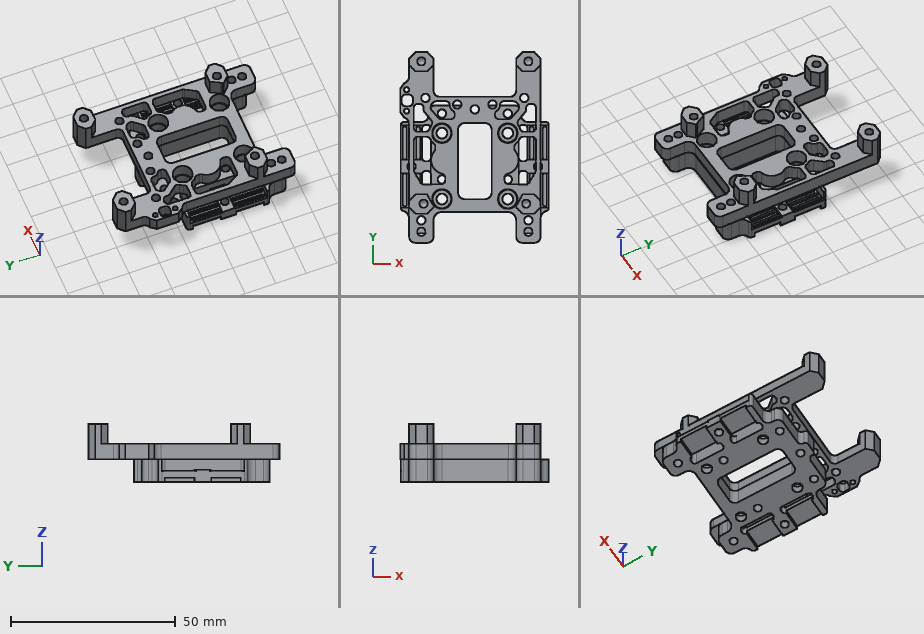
import cadquery as cq
import math

BASE_HEIGHT = 6.9
PLATE_THICKNESS = 4.8
POST_HEIGHT = 6.0
PLATE_TOP = BASE_HEIGHT + PLATE_THICKNESS
POST_TOP = PLATE_TOP + POST_HEIGHT

LEG_OUTER_X = 20.0
LEG_INNER_X = 12.5
LEG_CORNER = 2.0
FRONT_FILLET = 2.4

PLATE_FRONT_Y = -23.35
PLATE_BACK_Y = 34.65
PLATE_WEB_Y = 21.1
PLATE_FRONT_EDGE_Y = -14.0
BACK_FILLET = 1.75

BASE_FRONT_Y = -20.4
BASE_FRONT_EDGE_Y = -13.85
BASE_FRONT_FILLET = 2.5
BASE_BACK_Y = 18.45
BASE_SHOULDER_X = 14.05
BASE_CORNER = 2.0
TAB_BACK_Y = 20.9
TAB_HALF_WIDTH = 2.5
TAB_CORNER = 1.05
TAB_FILLET = 1.4
WING_X = 22.5
WING_BACK_Y = 13.45
WING_CORNER = 1.0

EAR_X = 22.71
EAR_Y = 19.95
EAR_HALF_FLAT = 3.53
EAR_HALF_ROOT = 7.2
EAR_ROOT_RADIUS = 2.0
EAR_ROOT_END_X = 21.38
EAR_HOLE_X = 20.72
EAR_HOLE_OFFSET = 3.25
EAR_HOLE_DIAMETER = 1.5
EAR_OPENING_X = 20.53
EAR_OPENING_SIZE = 3.45
EAR_OPENING_CORNER = 1.2

WINDOW_WIDTH = 10.15
WINDOW_FRONT_Y = -10.0
WINDOW_BACK_Y = 13.05
WINDOW_CORNER = 2.0

MOUNT_PITCH = 20.0
MOUNT_POINTS = [(x * MOUNT_PITCH / 2, y * MOUNT_PITCH / 2) for x in (-1, 1) for y in (-1, 1)]
MOUNT_DIAMETER = 3.2
PLATE_BORE_DIAMETER = 6.0
BASE_BORE_DIAMETER = 5.6
BASE_BORE_DEPTH = 3.7

SCREW_DIAMETER = 2.5
SIDE_SCREW = (15.0, 20.7)
BACK_SCREW = (5.35, 18.67)
CENTRE_SCREW_Y = 17.22
LEG_SCREW = (16.25, -16.45)
LEG_TIP_SCREW = (16.25, -19.9)
BASE_SCREW_X = 10.0
BASE_SCREW_YS = (15.94, -4.06)

POST_LENGTH = 5.9
POST_CHAMFER = 2.0
FRONT_POST_BACK_Y = -8.57
FRONT_POST_BORE_SIDE = [(12.5, -11.9), (12.96, -11.45)]
POST_HOLE_DEPTH = 9.0
POST_HOLE_TIP_ANGLE = 118.0
BACK_POST_HOLE = (16.25, 31.8)
FRONT_POST_HOLE = (15.57, -11.4)

POCKET_OUTER_X = 18.55
POCKET_FILLET = 1.2
INNER_POCKET_WIDE_FILLET = 1.95
SIDE_POCKET_WIDE_FILLET = 1.4
BORE_WALL_RADIUS = 4.0
SCREW_WALL_RADIUS = 2.3
BULGE_CENTRE = (9.0, 1.82)
BULGE_RADIUS = 4.25

TRAY_INNER_X = 13.38
TRAY_FRONT_Y = -12.65
TRAY_BACK_Y = 12.45
TRAY_CENTRE_Y = (TRAY_FRONT_Y + TRAY_BACK_Y) / 2
TRAY_CORNER = 1.0
TRAY_FLOOR = 3.43
BRIDGE_TOP = 3.84
BRIDGE_WIDTH = 4.1
SLIT_OUTER_X = 15.98
SLIT_HALF_GAP = 1.5
SLIT_CORNER = 1.0
GROOVE_XS = (17.23, 19.25, 21.27)
GROOVE_WIDTH = 1.2
GROOVE_END_GAP = 0.4
GROOVE_DEPTH = 1.0
WING_HOLE_X = 19.2
RELIEF_HEIGHT = 1.41
RELIEF_HALF_GAP = 2.5
RELIEF_END_MARGIN = 1.0


def both_sides(shape):
    """The shape together with its mirror image across the YZ plane."""
    return shape.union(shape.mirror("YZ"))


def mirrored(point):
    """The point on the -X side and its twin on the +X side."""
    x, y = point
    return [(-x, y), (x, y)]


def cylinders(points, diameter, bottom, top):
    """Upright cylinders at the points, between two heights."""
    return cq.Workplane(origin=(0, 0, bottom)).pushPoints(points).circle(diameter / 2).extrude(top - bottom)


def block(x_min, x_max, y_min, y_max, bottom, top):
    """Rectangular block from its limits."""
    size = (x_max - x_min, y_max - y_min, top - bottom)
    return cq.Workplane().box(*size, centered=False).translate((x_min, y_min, bottom))


def prism(points, bottom, top):
    """Upright prism on a polygon."""
    return cq.Workplane(origin=(0, 0, bottom)).polyline(points).close().extrude(top - bottom)


def window_cut():
    """Central window, tall enough to pass through both bodies."""
    half = WINDOW_WIDTH / 2
    cut = block(-half, half, WINDOW_FRONT_Y, WINDOW_BACK_Y, 0, PLATE_TOP)
    return cut.edges("|Z").fillet(WINDOW_CORNER)


def plate_frame():
    """H-shaped frame; the +X half is drawn from the back web round to the front edge."""
    half = (
        cq.Workplane(origin=(0, 0, BASE_HEIGHT))
        .moveTo(0, PLATE_WEB_Y)
        .lineTo(LEG_INNER_X - BACK_FILLET, PLATE_WEB_Y)
        .tangentArcPoint((LEG_INNER_X, PLATE_WEB_Y + BACK_FILLET), relative=False)
        .lineTo(LEG_INNER_X, PLATE_BACK_Y - POST_CHAMFER)
        .lineTo(LEG_INNER_X + POST_CHAMFER, PLATE_BACK_Y)
        .lineTo(LEG_OUTER_X - POST_CHAMFER, PLATE_BACK_Y)
        .lineTo(LEG_OUTER_X, PLATE_BACK_Y - POST_CHAMFER)
        .lineTo(LEG_OUTER_X, PLATE_FRONT_Y + LEG_CORNER)
        .tangentArcPoint((LEG_OUTER_X - LEG_CORNER, PLATE_FRONT_Y), relative=False)
        .lineTo(LEG_INNER_X + LEG_CORNER, PLATE_FRONT_Y)
        .tangentArcPoint((LEG_INNER_X, PLATE_FRONT_Y + LEG_CORNER), relative=False)
        .lineTo(LEG_INNER_X, PLATE_FRONT_EDGE_Y - FRONT_FILLET)
        .tangentArcPoint((LEG_INNER_X - FRONT_FILLET, PLATE_FRONT_EDGE_Y), relative=False)
        .lineTo(0, PLATE_FRONT_EDGE_Y)
        .close()
        .extrude(PLATE_THICKNESS)
    )
    return both_sides(half)


def ear():
    """Ear on the -X leg, with a rounded root running into the leg at each end."""
    root_centre_x = -LEG_OUTER_X - EAR_ROOT_RADIUS
    half_slope = EAR_HALF_ROOT - math.sqrt(EAR_ROOT_RADIUS**2 - (root_centre_x + EAR_ROOT_END_X) ** 2)
    arc_mid_x = root_centre_x + EAR_ROOT_RADIUS * math.cos(math.radians(45))
    arc_mid_y = EAR_HALF_ROOT - EAR_ROOT_RADIUS * math.sin(math.radians(45))
    inside_x = -POCKET_OUTER_X
    return (
        cq.Workplane(origin=(0, EAR_Y, BASE_HEIGHT))
        .moveTo(inside_x, EAR_HALF_ROOT)
        .lineTo(-LEG_OUTER_X, EAR_HALF_ROOT)
        .threePointArc((arc_mid_x, arc_mid_y), (-EAR_ROOT_END_X, half_slope))
        .lineTo(-EAR_X, EAR_HALF_FLAT)
        .lineTo(-EAR_X, -EAR_HALF_FLAT)
        .lineTo(-EAR_ROOT_END_X, -half_slope)
        .threePointArc((arc_mid_x, -arc_mid_y), (-LEG_OUTER_X, -EAR_HALF_ROOT))
        .lineTo(inside_x, -EAR_HALF_ROOT)
        .close()
        .extrude(PLATE_THICKNESS)
    )


def ear_cuts():
    """Two small holes and the rounded square opening of the ear."""
    points = [(-EAR_HOLE_X, EAR_Y + side * EAR_HOLE_OFFSET) for side in (-1, 1)]
    opening = (
        cq.Workplane(origin=(-EAR_OPENING_X, EAR_Y, BASE_HEIGHT))
        .rect(EAR_OPENING_SIZE, EAR_OPENING_SIZE)
        .extrude(PLATE_THICKNESS)
        .edges("|Z")
        .fillet(EAR_OPENING_CORNER)
    )
    return opening.union(cylinders(points, EAR_HOLE_DIAMETER, BASE_HEIGHT, PLATE_TOP))


def bore_wall():
    """Material kept round the back bore on the +X side."""
    return cylinders([(MOUNT_PITCH / 2, MOUNT_PITCH / 2)], 2 * BORE_WALL_RADIUS, BASE_HEIGHT, PLATE_TOP)


def round_pocket(pocket, wide_corner, wide_fillet):
    """Round the upright edges of a pocket, using a wider radius at one corner."""
    wide_edge = cq.selectors.NearestToPointSelector((*wide_corner, BASE_HEIGHT + PLATE_THICKNESS / 2))
    upright = cq.selectors.ParallelDirSelector(cq.Vector(0, 0, 1))
    rounded = pocket.edges(upright - wide_edge).fillet(POCKET_FILLET)
    return rounded.edges(wide_edge).fillet(wide_fillet)


def outer_back_pocket():
    """Pocket beside the leg, bounded by a sloped rib and the wall of the back bore."""
    outline = [
        (POCKET_OUTER_X, 10.45),
        (POCKET_OUTER_X, 18.85),
        (15.6, 18.85),
        (15.6, 16.75),
        (11.85, 12.25),
        (11.85, 10.45),
    ]
    pocket = prism(outline, BASE_HEIGHT, PLATE_TOP).cut(bore_wall())
    return pocket.edges("|Z").fillet(POCKET_FILLET)


def inner_back_pocket():
    """Pocket behind the back bore, bounded by a sloped rib and the wall of a screw hole."""
    screw_x, screw_y = BACK_SCREW
    side_x = screw_x + SCREW_WALL_RADIUS
    tip_x = 6.1
    arc_end_y = screw_y - math.sqrt(SCREW_WALL_RADIUS**2 - (tip_x - screw_x) ** 2)
    front_y = 14.25
    wide_corner = (13.4, 19.7)
    pocket = (
        cq.Workplane(origin=(0, 0, BASE_HEIGHT))
        .moveTo(10.75, front_y)
        .lineTo(wide_corner[0], 17.3)
        .lineTo(*wide_corner)
        .lineTo(side_x, wide_corner[1])
        .lineTo(side_x, screw_y)
        .tangentArcPoint((tip_x, arc_end_y), relative=False)
        .lineTo(tip_x, front_y)
        .close()
        .extrude(PLATE_THICKNESS)
    )
    return round_pocket(pocket, wide_corner, INNER_POCKET_WIDE_FILLET)


def side_pocket():
    """Long pocket over the wing tray, with a round bulge of material reaching into it."""
    wide_corner = (9.05, -5.55)
    outline = [
        (POCKET_OUTER_X, -1.5),
        (POCKET_OUTER_X, 8.85),
        (12.0, 8.85),
        (12.0, BULGE_CENTRE[1]),
        (wide_corner[0], BULGE_CENTRE[1]),
        wide_corner,
        (16.15, wide_corner[1]),
    ]
    bulge = cylinders([BULGE_CENTRE], 2 * BULGE_RADIUS, BASE_HEIGHT, PLATE_TOP)
    pocket = prism(outline, BASE_HEIGHT, PLATE_TOP).cut(bore_wall()).cut(bulge)
    return round_pocket(pocket, wide_corner, SIDE_POCKET_WIDE_FILLET)


def plate_holes():
    """Bores over the mounting holes and the screw holes of the plate."""
    screws = [(0, CENTRE_SCREW_Y)]
    for point in (SIDE_SCREW, BACK_SCREW, LEG_SCREW, LEG_TIP_SCREW):
        screws += mirrored(point)
    bores = cylinders(MOUNT_POINTS, PLATE_BORE_DIAMETER, BASE_HEIGHT, PLATE_TOP)
    return bores.union(cylinders(screws, SCREW_DIAMETER, BASE_HEIGHT, PLATE_TOP))


def post_outline(back_y):
    """Octagon as wide as a leg, starting at the back corner nearest the centre."""
    front_y = back_y - POST_LENGTH
    return [
        (LEG_INNER_X + POST_CHAMFER, back_y),
        (LEG_OUTER_X - POST_CHAMFER, back_y),
        (LEG_OUTER_X, back_y - POST_CHAMFER),
        (LEG_OUTER_X, front_y + POST_CHAMFER),
        (LEG_OUTER_X - POST_CHAMFER, front_y),
        (LEG_INNER_X + POST_CHAMFER, front_y),
        (LEG_INNER_X, front_y + POST_CHAMFER),
        (LEG_INNER_X, back_y - POST_CHAMFER),
    ]


def posts():
    """Back and front posts; the front ones are sloped to clear the bores beside them."""
    back = prism(post_outline(PLATE_BACK_Y), PLATE_TOP, POST_TOP)
    front_outline = post_outline(FRONT_POST_BACK_Y)
    front_outline[-1:] = FRONT_POST_BORE_SIDE
    front = prism(front_outline, PLATE_TOP, POST_TOP)
    return both_sides(back.union(front))


def post_holes():
    """Blind drilled holes with a conical bottom."""
    radius = SCREW_DIAMETER / 2
    tip = radius / math.tan(math.radians(POST_HOLE_TIP_ANGLE / 2))
    drill = (
        cq.Workplane("XZ")
        .polyline([(0, 0), (radius, 0), (radius, -POST_HOLE_DEPTH), (0, -POST_HOLE_DEPTH - tip)])
        .close()
        .revolve(360, (0, 0, 0), (0, 1, 0))
    )
    cuts = cq.Workplane()
    for x, y in mirrored(BACK_POST_HOLE) + mirrored(FRONT_POST_HOLE):
        cuts = cuts.add(drill.translate((x, y, POST_TOP)))
    return cuts.combine()


def make_plate():
    plate = plate_frame().union(ear()).union(posts())
    for pocket in (outer_back_pocket(), inner_back_pocket(), side_pocket()):
        plate = plate.cut(both_sides(pocket))
    for cut in (ear_cuts(), plate_holes(), post_holes(), window_cut()):
        plate = plate.cut(cut)
    return plate


def base_block():
    """Full-height base; the +X half is drawn from the back tab round to the front edge."""
    tab_root_x = TAB_HALF_WIDTH + TAB_FILLET
    wing_corner_x = WING_X - WING_CORNER
    hollow_x = LEG_OUTER_X + FRONT_FILLET
    touch_radius = WING_CORNER + FRONT_FILLET
    hollow_y = TRAY_FRONT_Y - math.sqrt(touch_radius**2 - (hollow_x - wing_corner_x) ** 2)
    share = WING_CORNER / touch_radius
    touch_point = (
        wing_corner_x + share * (hollow_x - wing_corner_x),
        TRAY_FRONT_Y + share * (hollow_y - TRAY_FRONT_Y),
    )
    half = (
        cq.Workplane()
        .moveTo(0, TAB_BACK_Y)
        .lineTo(TAB_HALF_WIDTH - TAB_CORNER, TAB_BACK_Y)
        .tangentArcPoint((TAB_HALF_WIDTH, TAB_BACK_Y - TAB_CORNER), relative=False)
        .tangentArcPoint((tab_root_x, BASE_BACK_Y), relative=False)
        .lineTo(BASE_SHOULDER_X - BASE_CORNER, BASE_BACK_Y)
        .tangentArcPoint((BASE_SHOULDER_X, BASE_BACK_Y - BASE_CORNER), relative=False)
        .lineTo(BASE_SHOULDER_X, WING_BACK_Y + BASE_CORNER)
        .tangentArcPoint((BASE_SHOULDER_X + BASE_CORNER, WING_BACK_Y), relative=False)
        .lineTo(wing_corner_x, WING_BACK_Y)
        .tangentArcPoint((WING_X, WING_BACK_Y - WING_CORNER), relative=False)
        .lineTo(WING_X, TRAY_FRONT_Y)
        .tangentArcPoint(touch_point, relative=False)
        .tangentArcPoint((LEG_OUTER_X, hollow_y), relative=False)
        .lineTo(LEG_OUTER_X, BASE_FRONT_Y + LEG_CORNER)
        .tangentArcPoint((LEG_OUTER_X - LEG_CORNER, BASE_FRONT_Y), relative=False)
        .lineTo(LEG_INNER_X + LEG_CORNER, BASE_FRONT_Y)
        .tangentArcPoint((LEG_INNER_X, BASE_FRONT_Y + LEG_CORNER), relative=False)
        .lineTo(LEG_INNER_X, BASE_FRONT_EDGE_Y - BASE_FRONT_FILLET)
        .tangentArcPoint((LEG_INNER_X - BASE_FRONT_FILLET, BASE_FRONT_EDGE_Y), relative=False)
        .lineTo(0, BASE_FRONT_EDGE_Y)
        .close()
        .extrude(BASE_HEIGHT)
    )
    return both_sides(half)


def tray_cut():
    """Tray open at the top and outer side, with a slightly higher bridge left across its middle."""
    tray = block(TRAY_INNER_X, WING_X, TRAY_FRONT_Y, TRAY_BACK_Y, TRAY_FLOOR, BASE_HEIGHT)
    tray = tray.edges("|Z and <X").fillet(TRAY_CORNER)
    bridge = block(
        TRAY_INNER_X, WING_X,
        TRAY_CENTRE_Y - BRIDGE_WIDTH / 2, TRAY_CENTRE_Y + BRIDGE_WIDTH / 2,
        TRAY_FLOOR, BRIDGE_TOP,
    )
    root_half_width = SLIT_HALF_GAP + SLIT_CORNER
    root = block(
        TRAY_INNER_X, TRAY_INNER_X + SLIT_CORNER,
        -root_half_width, root_half_width,
        TRAY_FLOOR, BRIDGE_TOP,
    )
    return tray.cut(bridge).cut(root)


def slit_cuts():
    """Through slits along the inner wall of the tray, one on each side of the bridge."""
    front = block(TRAY_INNER_X, SLIT_OUTER_X, TRAY_FRONT_Y, -SLIT_HALF_GAP, 0, BASE_HEIGHT)
    back = block(TRAY_INNER_X, SLIT_OUTER_X, SLIT_HALF_GAP, TRAY_BACK_Y, 0, BASE_HEIGHT)
    return front.union(back).edges("|Z").fillet(SLIT_CORNER)


def groove_cuts():
    """Round-ended grooves in the tray floor, three on each side of the bridge."""
    inner = BRIDGE_WIDTH / 2
    outer = (TRAY_BACK_Y - TRAY_FRONT_Y) / 2 - GROOVE_END_GAP
    centres = [(x, TRAY_CENTRE_Y + side * (inner + outer) / 2) for x in GROOVE_XS for side in (-1, 1)]
    return (
        cq.Workplane(origin=(0, 0, TRAY_FLOOR - GROOVE_DEPTH))
        .pushPoints(centres)
        .slot2D(outer - inner, GROOVE_WIDTH, 90)
        .extrude(GROOVE_DEPTH)
    )


def relief_cuts():
    """Shallow reliefs under the wing, one on each side of its middle foot."""
    front_y = TRAY_FRONT_Y + RELIEF_END_MARGIN
    back_y = TRAY_BACK_Y - RELIEF_END_MARGIN
    front = block(SLIT_OUTER_X, WING_X, front_y, TRAY_CENTRE_Y - RELIEF_HALF_GAP, 0, RELIEF_HEIGHT)
    back = block(SLIT_OUTER_X, WING_X, TRAY_CENTRE_Y + RELIEF_HALF_GAP, back_y, 0, RELIEF_HEIGHT)
    return front.union(back)


def base_holes():
    """Counterbored mounting holes and the through screw holes of the base."""
    screws = [(0, CENTRE_SCREW_Y)] + mirrored(LEG_SCREW) + mirrored((WING_HOLE_X, TRAY_CENTRE_Y))
    for y in BASE_SCREW_YS:
        screws += mirrored((BASE_SCREW_X, y))
    holes = cylinders(screws, SCREW_DIAMETER, 0, BASE_HEIGHT)
    holes = holes.union(cylinders(MOUNT_POINTS, MOUNT_DIAMETER, 0, BASE_HEIGHT))
    return holes.union(
        cylinders(MOUNT_POINTS, BASE_BORE_DIAMETER, BASE_HEIGHT - BASE_BORE_DEPTH, BASE_HEIGHT)
    )


def make_base():
    base = base_block()
    for cut in (tray_cut(), slit_cuts(), groove_cuts(), relief_cuts()):
        base = base.cut(both_sides(cut))
    return base.cut(base_holes()).cut(window_cut())


plate = make_plate()
base = make_base()
result = cq.Compound.makeCompound([plate.val(), base.val()])